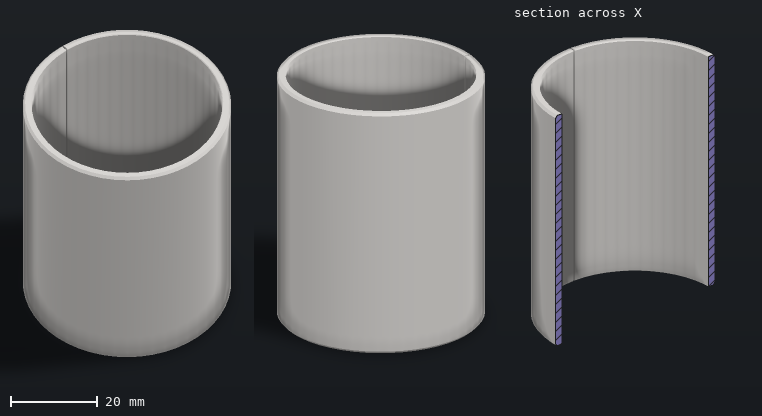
import cadquery as cq

length = 60.0
outer_diameter = 48.0
inner_diameter = 44.0
outer_chamfer_height = 0.6
outer_chamfer_depth = 0.55
inner_chamfer = 0.2
gap_angle = 1.0

outer_radius = outer_diameter / 2
inner_radius = inner_diameter / 2
half_length = length / 2


def wall_section():
    """Section of the -X wall in the XZ plane, with all four corners chamfered."""
    chamfer_start = half_length - outer_chamfer_height
    inner_start = half_length - inner_chamfer
    face_outer = outer_radius - outer_chamfer_depth
    face_inner = inner_radius + inner_chamfer
    corners = [
        (-inner_radius, -inner_start),
        (-face_inner, -half_length),
        (-face_outer, -half_length),
        (-outer_radius, -chamfer_start),
        (-outer_radius, chamfer_start),
        (-face_outer, half_length),
        (-face_inner, half_length),
        (-inner_radius, inner_start),
    ]
    return cq.Workplane("XZ").polyline(corners).close()


result = wall_section().revolve(360 - gap_angle, (0, 0, 0), (0, 1, 0))